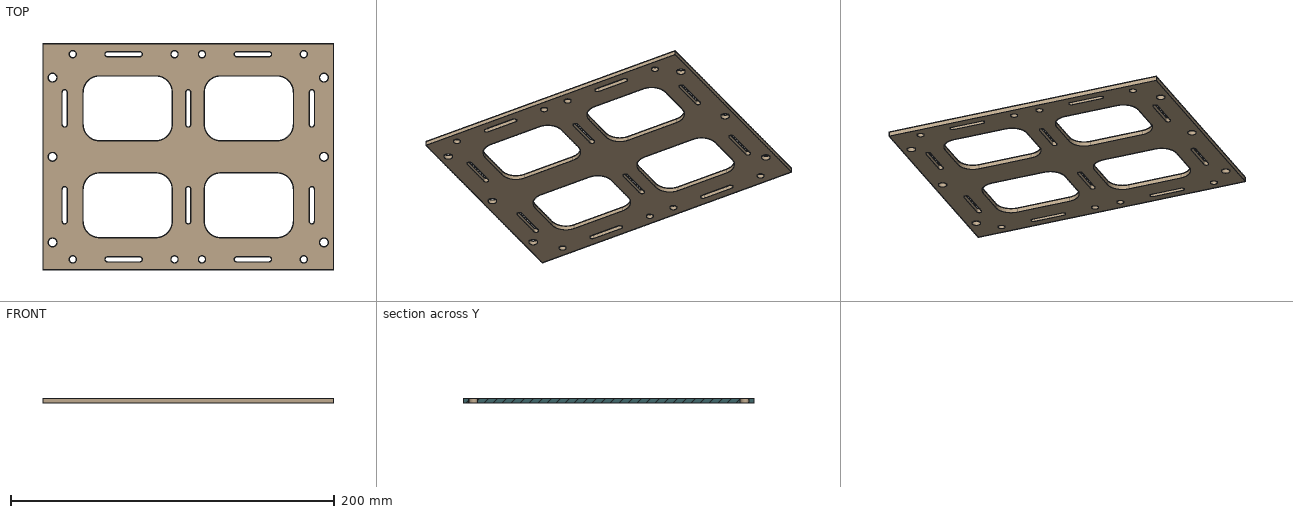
import cadquery as cq

PLATE_LENGTH = 180.0
PLATE_WIDTH = 140.0
PLATE_THICKNESS = 3.0

WINDOW_LENGTH = 55.0
WINDOW_WIDTH = 40.0
WINDOW_CORNER_RADIUS = 10.0
WINDOW_X = 37.5
WINDOW_Y = 30.0

SLOT_LENGTH = 23.0
SLOT_WIDTH = 3.0
EDGE_SLOT_X = 40.0
SIDE_SLOT_X = 76.5

LONG_EDGE_MARGIN = 6.5
EDGE_ROW_Y = PLATE_WIDTH / 2 - LONG_EDGE_MARGIN
SMALL_HOLE_DIAMETER = 4.3
OUTER_HOLE_X = 71.5
INNER_HOLE_X = 8.5

LARGE_HOLE_DIAMETER = 5.3
SHORT_EDGE_MARGIN = 6.0
LARGE_HOLE_X = PLATE_LENGTH / 2 - SHORT_EDGE_MARGIN
LARGE_HOLE_YS = (-53.0, 0.0, 49.0)


def mirrored(x, y):
    """Return the point repeated in all four quadrants."""
    return [(side_x * x, side_y * y) for side_x in (-1, 1) for side_y in (-1, 1)]


def make_plate():
    return cq.Workplane("XY").box(
        PLATE_LENGTH, PLATE_WIDTH, PLATE_THICKNESS, centered=(True, True, False)
    )


def make_windows():
    return (
        cq.Workplane("XY")
        .pushPoints(mirrored(WINDOW_X, WINDOW_Y))
        .rect(WINDOW_LENGTH, WINDOW_WIDTH)
        .extrude(PLATE_THICKNESS)
        .edges("|Z")
        .fillet(WINDOW_CORNER_RADIUS)
    )


def make_slots(points, angle):
    return (
        cq.Workplane("XY")
        .pushPoints(points)
        .slot2D(SLOT_LENGTH, SLOT_WIDTH, angle)
        .extrude(PLATE_THICKNESS)
    )


def make_holes(points, diameter):
    return cq.Workplane("XY").pushPoints(points).circle(diameter / 2).extrude(PLATE_THICKNESS)


edge_slot_points = mirrored(EDGE_SLOT_X, EDGE_ROW_Y)
middle_slot_points = [(0, -WINDOW_Y), (0, WINDOW_Y)]
upright_slot_points = mirrored(SIDE_SLOT_X, WINDOW_Y) + middle_slot_points
small_hole_points = mirrored(OUTER_HOLE_X, EDGE_ROW_Y) + mirrored(INNER_HOLE_X, EDGE_ROW_Y)
large_hole_points = [(x, y) for x in (-LARGE_HOLE_X, LARGE_HOLE_X) for y in LARGE_HOLE_YS]

result = (
    make_plate()
    .cut(make_windows())
    .cut(make_slots(edge_slot_points, 0))
    .cut(make_slots(upright_slot_points, 90))
    .cut(make_holes(small_hole_points, SMALL_HOLE_DIAMETER))
    .cut(make_holes(large_hole_points, LARGE_HOLE_DIAMETER))
)